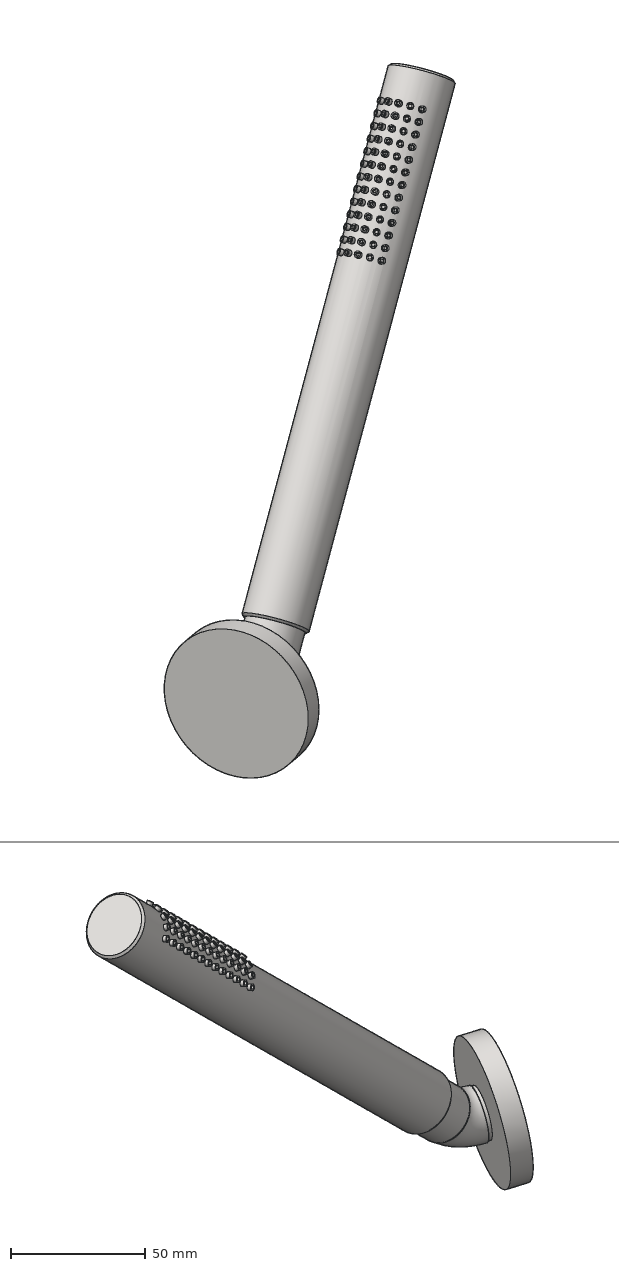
import cadquery as cq
import math

flange_diameter = 60.0
flange_thickness = 9.0

neck_diameter = 21.5
neck_length = 1.5

elbow_diameter = 22.5
elbow_bend_radius = 16.7
tilt_angle = 55.0

collar_diameter = 23.2
collar_length = 14.4

handle_diameter = 26.0
handle_length = 215.0
handle_chamfer = 1.0

nozzle_diameter = 2.5
nozzle_height = 1.5
nozzle_root_depth = 1.2
nozzle_bore_diameter = 1.5
nozzle_bore_depth = 1.2
nozzle_rows = 13
nozzle_columns = 5
nozzle_field_length = 59.0
nozzle_column_angle = 19.5
nozzle_inset = 15.0

handle_radius = handle_diameter / 2
neck_start = flange_thickness
elbow_start = neck_start + neck_length
tilt = math.radians(tilt_angle)
axis_direction = cq.Vector(0, math.cos(tilt), math.sin(tilt))
spray_direction = cq.Vector(0, -math.sin(tilt), math.cos(tilt))
elbow_end = cq.Vector(
    0,
    elbow_start + elbow_bend_radius * math.sin(tilt),
    elbow_bend_radius * (1 - math.cos(tilt)),
)
handle_start = elbow_end + axis_direction * collar_length


def disc_along_y(diameter, start, length):
    """A cylinder on the Y axis that runs from Y = start towards +Y."""
    plane = cq.Plane(origin=(0, start, 0), xDir=(1, 0, 0), normal=(0, 1, 0))
    return cq.Workplane(plane).circle(diameter / 2).extrude(length)


def tilted_cylinder(diameter, start, length):
    """A cylinder that runs up the tilted axis from the start point."""
    plane = cq.Plane(origin=start.toTuple(), xDir=(1, 0, 0), normal=axis_direction.toTuple())
    return cq.Workplane(plane).circle(diameter / 2).extrude(length)


def make_elbow():
    """A circle turned about a line parallel to X that lies one bend radius above the Y axis."""
    plane = cq.Plane(origin=(0, elbow_start, 0), xDir=(1, 0, 0), normal=(0, -1, 0))
    return (
        cq.Workplane(plane)
        .circle(elbow_diameter / 2)
        .revolve(tilt_angle, (0, elbow_bend_radius, 0), (1, elbow_bend_radius, 0))
    )


def make_nozzle(distance, angle):
    """One bored stud, at a distance along the handle and an angle around it from the spray side."""
    around = math.radians(angle)
    radial = spray_direction * math.cos(around) + cq.Vector(math.sin(around), 0, 0)
    foot = handle_start + axis_direction * distance + radial * handle_radius
    root = foot - radial * nozzle_root_depth
    stud = cq.Solid.makeCylinder(
        nozzle_diameter / 2, nozzle_root_depth + nozzle_height, root, radial
    )
    bore_floor = foot + radial * (nozzle_height - nozzle_bore_depth)
    bore = cq.Solid.makeCylinder(nozzle_bore_diameter / 2, nozzle_bore_depth, bore_floor, radial)
    return stud.cut(bore)


def make_handle():
    """The chamfered barrel with its field of nozzles, as one solid."""
    barrel = (
        tilted_cylinder(handle_diameter, handle_start, handle_length)
        .edges("%CIRCLE")
        .chamfer(handle_chamfer)
    )
    row_pitch = nozzle_field_length / (nozzle_rows - 1)
    middle_column = (nozzle_columns - 1) / 2
    nozzles = []
    for row in range(nozzle_rows):
        distance = handle_length - nozzle_inset - row * row_pitch
        for column in range(nozzle_columns):
            angle = (column - middle_column) * nozzle_column_angle
            nozzles.append(make_nozzle(distance, angle))
    return cq.Workplane(barrel.val().fuse(*nozzles).Solids()[0])


flange = disc_along_y(flange_diameter, 0, flange_thickness)
neck = disc_along_y(neck_diameter, neck_start, neck_length)
elbow = make_elbow()
collar = tilted_cylinder(collar_diameter, elbow_end, collar_length)
handle = make_handle()

result = cq.Compound.makeCompound(
    [flange.val(), neck.val(), elbow.val(), collar.val(), handle.val()]
)